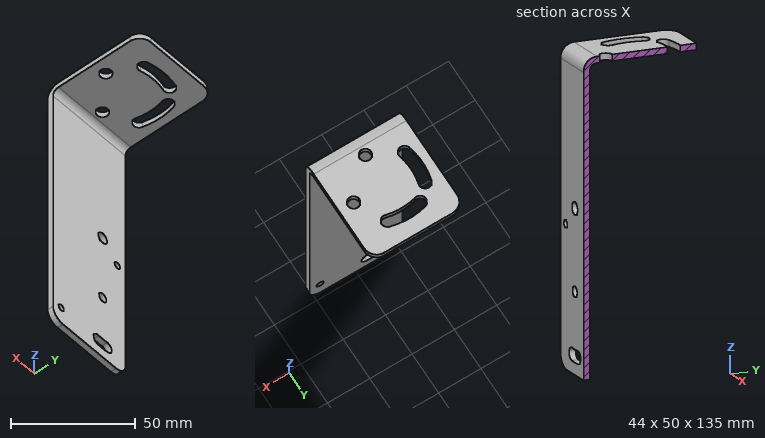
import cadquery as cq
import math

WIDTH = 44.0
DEPTH = 50.0
HEIGHT = 135.0
THICKNESS = 3.0
BEND_RADIUS = 2 * THICKNESS
CORNER_RADIUS = 6.0

BOLT_DIAMETER = 5.4
PIVOT_OFFSET = 15.0
FLANGE_CENTER_Y = 25.0
FLANGE_SLOT_RADIUS = 30.0
FLANGE_SLOT_HALF_ANGLE = 15.0

COLUMN_X = -8.1
UPPER_HOLE_Z = 69.8
LOWER_HOLE_Z = 35.0
LOWER_HOLE_DIAMETER = 4.5
PLATE_SLOT_RADIUS = 27.0
PLATE_SLOT_HALF_ANGLE = 6.0
PIN_DIAMETER = 3.2
PIN_OFFSET_X = 17.0
LEFT_PIN_Z = 60.9
RIGHT_PIN_Z = 8.9


def polar_point(center, radius, angle):
    """Point at an angle in degrees and a radius from the center."""
    radians = math.radians(angle)
    return (center[0] + radius * math.cos(radians), center[1] + radius * math.sin(radians))


def hole(plane, center, diameter, depth):
    return plane.moveTo(*center).circle(diameter / 2).extrude(depth)


def arc_slot(plane, pivot, radius, mid_angle, half_angle, width, depth):
    """Round-ended slot along an arc about the pivot."""
    inner = radius - width / 2
    outer = radius + width / 2
    start = mid_angle - half_angle
    end = mid_angle + half_angle
    end_center = polar_point(pivot, radius, end)
    start_center = polar_point(pivot, radius, start)
    end_tip = polar_point(end_center, width / 2, end + 90)
    start_tip = polar_point(start_center, width / 2, start - 90)
    return (
        plane.moveTo(*polar_point(pivot, outer, start))
        .threePointArc(polar_point(pivot, outer, mid_angle), polar_point(pivot, outer, end))
        .threePointArc(end_tip, polar_point(pivot, inner, end))
        .threePointArc(polar_point(pivot, inner, mid_angle), polar_point(pivot, inner, start))
        .threePointArc(start_tip, polar_point(pivot, outer, start))
        .close()
        .extrude(depth)
    )


def bent_sheet():
    """L-shaped sheet with concentric bend radii and rounded free corners."""
    sheet = (
        cq.Workplane("YZ")
        .polyline([
            (0, 0),
            (0, HEIGHT),
            (DEPTH, HEIGHT),
            (DEPTH, HEIGHT - THICKNESS),
            (THICKNESS, HEIGHT - THICKNESS),
            (THICKNESS, 0),
        ])
        .close()
        .extrude(WIDTH / 2, both=True)
    )
    outer_bend = cq.NearestToPointSelector((0, 0, HEIGHT))
    inner_bend = cq.NearestToPointSelector((0, THICKNESS, HEIGHT - THICKNESS))
    sheet = sheet.edges(outer_bend).fillet(BEND_RADIUS)
    sheet = sheet.edges(inner_bend).fillet(BEND_RADIUS - THICKNESS)
    sheet = sheet.faces(">Y").edges("|Z").fillet(CORNER_RADIUS)
    return sheet.faces("<Z").edges("|Y").fillet(CORNER_RADIUS)


def cut_flange(body):
    plane = cq.Workplane("XY", origin=(0, 0, HEIGHT))
    front_pivot = (0, FLANGE_CENTER_Y - PIVOT_OFFSET)
    side_pivot = (PIVOT_OFFSET, FLANGE_CENTER_Y)
    for pivot, slot_angle in [(front_pivot, 90), (side_pivot, 180)]:
        body = body.cut(hole(plane, pivot, BOLT_DIAMETER, -THICKNESS))
        body = body.cut(arc_slot(
            plane, pivot, FLANGE_SLOT_RADIUS, slot_angle,
            FLANGE_SLOT_HALF_ANGLE, BOLT_DIAMETER, -THICKNESS,
        ))
    return body


def cut_plate(body):
    plane = cq.Workplane("XZ")
    lower_hole = (COLUMN_X, LOWER_HOLE_Z)
    plate_holes = [
        ((COLUMN_X, UPPER_HOLE_Z), BOLT_DIAMETER),
        (lower_hole, LOWER_HOLE_DIAMETER),
        ((-PIN_OFFSET_X, LEFT_PIN_Z), PIN_DIAMETER),
        ((PIN_OFFSET_X, RIGHT_PIN_Z), PIN_DIAMETER),
    ]
    for center, diameter in plate_holes:
        body = body.cut(hole(plane, center, diameter, -THICKNESS))
    return body.cut(arc_slot(
        plane, lower_hole, PLATE_SLOT_RADIUS, -90,
        PLATE_SLOT_HALF_ANGLE, BOLT_DIAMETER, -THICKNESS,
    ))


result = cut_plate(cut_flange(bent_sheet()))